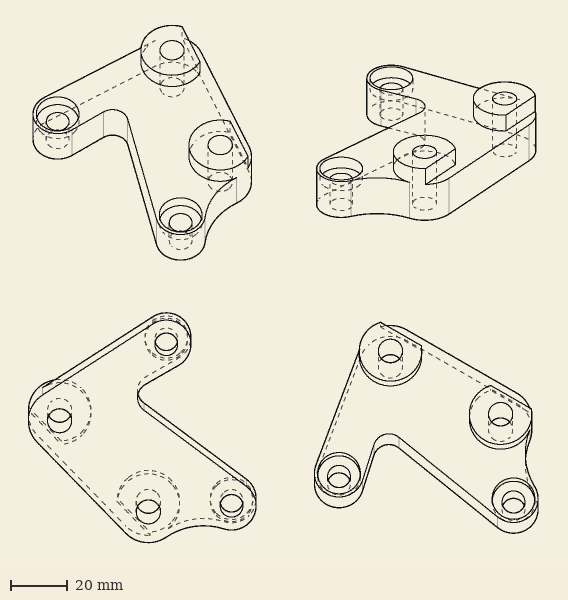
import cadquery as cq
import math

plate_height = 14.9
boss_height = 6.6
boss_radius = 11.0
boss_hole_radius = 4.25
boss_flat_offset = 7.2

arm_radius = 8.7
arm_hole_radius = 4.0
counterbore_radius = 7.5
counterbore_depth = 4.5

left_boss = (0.0, 0.0)
right_boss = (45.0, 0.0)
lower_arm = (6.25, -45.95)
right_arm = (63.7, -22.6)

notch_centre = (16.85, -29.4)
notch_radius = 5.5
scallop_radius = 23.35


def polar_point(centre, radius, angle):
    return (centre[0] + radius * math.cos(angle), centre[1] + radius * math.sin(angle))


def distance_and_angle(start, end):
    dx = end[0] - start[0]
    dy = end[1] - start[1]
    return math.hypot(dx, dy), math.atan2(dy, dx)


def tangent_line(start, start_radius, end, end_radius):
    """Touch points of a straight outline edge, walking counterclockwise.

    A negative radius marks a hollow corner.
    """
    distance, heading = distance_and_angle(start, end)
    normal = heading - math.acos((start_radius - end_radius) / distance)
    return polar_point(start, start_radius, normal), polar_point(end, end_radius, normal)


def scallop_points():
    """Start, middle and end of the hollow arc from the right arm to the right boss."""
    span, heading = distance_and_angle(right_boss, right_arm)
    boss_reach = boss_radius + scallop_radius
    arm_reach = arm_radius + scallop_radius
    cosine = (boss_reach**2 + span**2 - arm_reach**2) / (2 * boss_reach * span)
    centre = polar_point(right_boss, boss_reach, heading + math.acos(cosine))
    to_arm = distance_and_angle(centre, right_arm)[1] % math.tau
    to_boss = distance_and_angle(centre, right_boss)[1] % math.tau
    angles = (to_arm, (to_arm + to_boss) / 2, to_boss)
    return [polar_point(centre, scallop_radius, angle) for angle in angles]


def make_plate():
    left_top, left_bottom = tangent_line(left_boss, boss_radius, lower_arm, arm_radius)
    lower_inner, notch_start = tangent_line(lower_arm, arm_radius, notch_centre, -notch_radius)
    notch_end, right_inner = tangent_line(notch_centre, -notch_radius, right_arm, arm_radius)
    scallop_start, scallop_middle, scallop_end = scallop_points()
    top_right, top_left = tangent_line(right_boss, boss_radius, left_boss, boss_radius)
    notch_middle = polar_point(notch_centre, notch_radius, math.radians(135))
    return (
        cq.Workplane("XY")
        .moveTo(*left_top)
        .lineTo(*left_bottom)
        .threePointArc(polar_point(lower_arm, arm_radius, math.radians(-90)), lower_inner)
        .lineTo(*notch_start)
        .threePointArc(notch_middle, notch_end)
        .lineTo(*right_inner)
        .threePointArc(polar_point(right_arm, arm_radius, 0), scallop_start)
        .threePointArc(scallop_middle, scallop_end)
        .threePointArc(polar_point(right_boss, boss_radius, math.radians(45)), top_right)
        .lineTo(*top_left)
        .threePointArc(polar_point(left_boss, boss_radius, math.radians(135)), left_top)
        .close()
        .extrude(plate_height)
    )


def make_boss(centre):
    """Round boss on the plate, cut flat on its +Y side."""
    half_chord = math.sqrt(boss_radius**2 - boss_flat_offset**2)
    return (
        cq.Workplane("XY", origin=(*centre, plate_height))
        .moveTo(-half_chord, boss_flat_offset)
        .threePointArc((0, -boss_radius), (half_chord, boss_flat_offset))
        .close()
        .extrude(boss_height)
    )


def make_cutter(centre, radius, bottom, top):
    return cq.Workplane("XY", origin=(*centre, bottom)).circle(radius).extrude(top - bottom)


result = make_plate()

for boss_centre in (left_boss, right_boss):
    result = result.union(make_boss(boss_centre))
    result = result.cut(make_cutter(boss_centre, boss_hole_radius, 0, plate_height + boss_height))

for arm_centre in (lower_arm, right_arm):
    counterbore_floor = plate_height - counterbore_depth
    result = result.cut(make_cutter(arm_centre, arm_hole_radius, 0, plate_height))
    result = result.cut(make_cutter(arm_centre, counterbore_radius, counterbore_floor, plate_height))